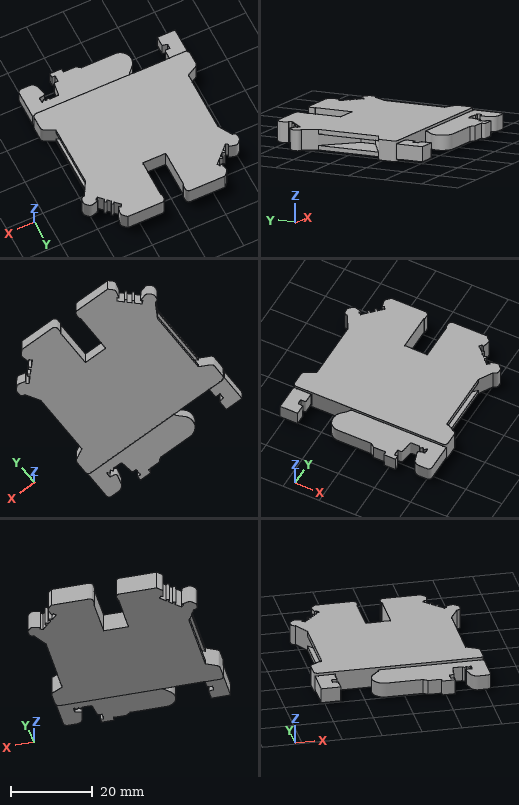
import cadquery as cq
import math

housing_thickness = 5.2
foot_thickness = 3.85
half_width = 21.25
housing_top = 36.55
corner_radius = 1.0

waist_half = 18.05
waist_bottom = 6.45
waist_top = 22.85
base_shoulder = 4.75
lug_bottom = 26.45
lug_root_half = 20.2

slot_half = 3.1
slot_floor = 24.27
slot_mouth_half = 2.9
slot_mouth_bottom = 34.3
slot_mouth_radius = corner_radius

groove_center_x = 15.25
groove_center_y = 30.45
groove_half_length = 3.1
undercut_half_length = 3.2
undercut_height = 0.8
lip_half_opening = 2.65
lip_height = 0.9
head_half_length = 3.8
head_height = 2.9
rib_spacing = 1.85
rib_width = 0.65
rib_height = 0.7
rib_radius = 0.25

pocket_height = 2.85
pocket_floor_bottom = 11.15
pocket_floor_top = 15.1
pocket_depth = waist_top - pocket_floor_top

fixed_foot_left = -21.05
fixed_foot_right = -16.15
fixed_foot_bottom = -7.1
fixed_notch_depth = 1.37
fixed_notch_top = -2.85
fixed_notch_bottom = -4.1
fixed_lip_drop = 0.27
fixed_lip_radius = 0.35
fixed_root_chamfer = 0.2

nose_left = -7.85
nose_radius = 3.0
nose_root_x = -5.55
nose_root_y = -0.82
nose_root_end = -5.18
nose_root_radius = 1.37
sole = -7.4
heel = -8.25
heel_start_x = 4.35
heel_end_x = 5.45
toe_left = 8.8
toe_right = 12.05
toe_bottom = housing_top - 45.8
toe_radius = 0.25
toe_notch_x = 11.18
toe_notch_bottom = -8.05
toe_notch_top = -6.35
gap_bottom_x = 12.3
gap_top_x = 12.82
gap_top = -2.7
gap_radius = 0.35
first_tooth_x = 17.2
tooth_pitch = 1.0
tooth_depth = 0.5
tooth_count = 2
hook_inner_x = 17.4
hook_inner_y = -4.0
hook_tip_x = 15.55
hook_tip_y = -4.3
hook_tip_radius = 0.55
hook_bottom = -8.4
hook_bottom_x = 16.65
hook_radius = 1.85


def rounded_outline(corners):
    """Close a wire through (x, y) or (x, y, radius) corners, with tangent arcs at the radii."""
    path = None
    for i, corner in enumerate(corners):
        here = cq.Vector(corner[0], corner[1])
        before = cq.Vector(*corners[i - 1][:2])
        after = cq.Vector(*corners[(i + 1) % len(corners)][:2])
        to_before = (before - here).normalized()
        to_after = (after - here).normalized()
        radius = corner[2] if len(corner) == 3 else 0
        half_angle = to_before.getAngle(to_after) / 2
        setback = radius / math.tan(half_angle)
        start = here + to_before * setback
        path = path.lineTo(start.x, start.y) if path else cq.Workplane("XY").moveTo(start.x, start.y)
        if radius:
            bisector = (to_before + to_after).normalized()
            middle = here + bisector * (radius / math.sin(half_angle) - radius)
            end = here + to_after * setback
            path = path.threePointArc((middle.x, middle.y), (end.x, end.y))
    return path.close()


def plate(corners, thickness):
    """Extrude an outline symmetrically about Z = 0."""
    return rounded_outline(corners).extrude(thickness / 2, both=True)


def groove_point(along, out, radius=0):
    """Place a groove point: along the 45 degree floor (down and outward), and out from it."""
    diagonal = math.sqrt(2)
    x = groove_center_x + (out + along) / diagonal
    y = groove_center_y + (out - along) / diagonal
    return (x, y, radius)


def groove_corners():
    """The groove from its upper head to its lower head, ribs included."""
    upper_head = [
        groove_point(-head_half_length, head_height, corner_radius),
        groove_point(-lip_half_opening, lip_height),
        groove_point(-undercut_half_length, undercut_height),
        groove_point(-groove_half_length, 0),
    ]
    ribs = []
    for rib_center in (-rib_spacing / 2, rib_spacing / 2):
        rib_start = rib_center - rib_width / 2
        rib_end = rib_center + rib_width / 2
        ribs += [
            groove_point(rib_start, 0),
            groove_point(rib_start, rib_height, rib_radius),
            groove_point(rib_end, rib_height, rib_radius),
            groove_point(rib_end, 0),
        ]
    lower_head = [
        groove_point(groove_half_length, 0),
        groove_point(undercut_half_length, undercut_height),
        groove_point(lip_half_opening, lip_height),
        groove_point(head_half_length, head_height, corner_radius),
    ]
    return upper_head + ribs + lower_head


def housing_half():
    """The +X half of the housing."""
    head_rise = math.sqrt(2) * head_height
    head_top_x = groove_center_x + head_rise - (housing_top - groove_center_y)
    lug_top = groove_center_y + head_rise - (half_width - groove_center_x)
    corners = [
        (0, 0),
        (0, slot_floor),
        (slot_half, slot_floor),
        (slot_half, slot_mouth_bottom),
        (slot_mouth_half, slot_mouth_bottom),
        (slot_mouth_half, housing_top, slot_mouth_radius),
        (head_top_x, housing_top),
        *groove_corners(),
        (half_width, lug_top, corner_radius),
        (half_width, lug_bottom, corner_radius),
        (lug_root_half, lug_bottom),
        (waist_half, waist_top),
        (waist_half, waist_bottom),
        (half_width, base_shoulder, corner_radius),
        (half_width, 0, corner_radius),
    ]
    return plate(corners, housing_thickness)


def flank_pocket():
    """The tapering pocket in the +X flank."""
    floor_x = waist_half - pocket_depth
    corners = [
        (waist_half, waist_bottom),
        (waist_half, waist_top),
        (floor_x, pocket_floor_top),
        (floor_x, pocket_floor_bottom),
    ]
    return plate(corners, pocket_height)


def fixed_foot():
    notch_x = fixed_foot_right - fixed_notch_depth
    corners = [
        (fixed_foot_left, 0),
        (fixed_foot_left, fixed_foot_bottom),
        (fixed_foot_right, fixed_foot_bottom),
        (fixed_foot_right, fixed_notch_bottom - fixed_lip_drop),
        (notch_x, fixed_notch_bottom),
        (notch_x, fixed_notch_top),
        (fixed_foot_right, fixed_notch_top, fixed_lip_radius),
        (fixed_foot_right, -fixed_root_chamfer),
        (fixed_foot_right + fixed_root_chamfer, 0),
    ]
    return plate(corners, foot_thickness)


def gripping_teeth():
    """Small triangular teeth under the roof of the gap, from the hook inward."""
    teeth = []
    for i in range(tooth_count):
        root_x = first_tooth_x - i * tooth_pitch
        teeth += [(root_x, gap_top), (root_x - tooth_pitch / 2, gap_top - tooth_depth)]
    teeth.append((first_tooth_x - tooth_count * tooth_pitch, gap_top))
    return teeth


def sprung_foot():
    ramp_height = nose_root_x - nose_left
    corners = [
        (nose_root_end, 0),
        (nose_root_x, nose_root_y, nose_root_radius),
        (nose_left, nose_root_y - ramp_height, nose_radius),
        (nose_left, sole, nose_radius),
        (heel_start_x, sole),
        (heel_end_x, heel),
        (toe_left, heel),
        (toe_left, toe_bottom, toe_radius),
        (toe_right, toe_bottom),
        (toe_right, toe_notch_bottom),
        (toe_notch_x, toe_notch_bottom),
        (toe_notch_x, toe_notch_top),
        (gap_bottom_x, toe_notch_top, gap_radius),
        (gap_top_x, gap_top, gap_radius),
        *reversed(gripping_teeth()),
        (hook_inner_x, gap_top),
        (hook_inner_x, hook_inner_y),
        (hook_tip_x, hook_tip_y, hook_tip_radius),
        (hook_bottom_x, hook_bottom, hook_radius),
        (half_width, hook_bottom, corner_radius),
        (half_width, 0),
    ]
    return plate(corners, foot_thickness)


right_half = housing_half().cut(flank_pocket())
housing = right_half.union(right_half.mirror("YZ"))
result = housing.union(fixed_foot()).union(sprung_foot()).clean()